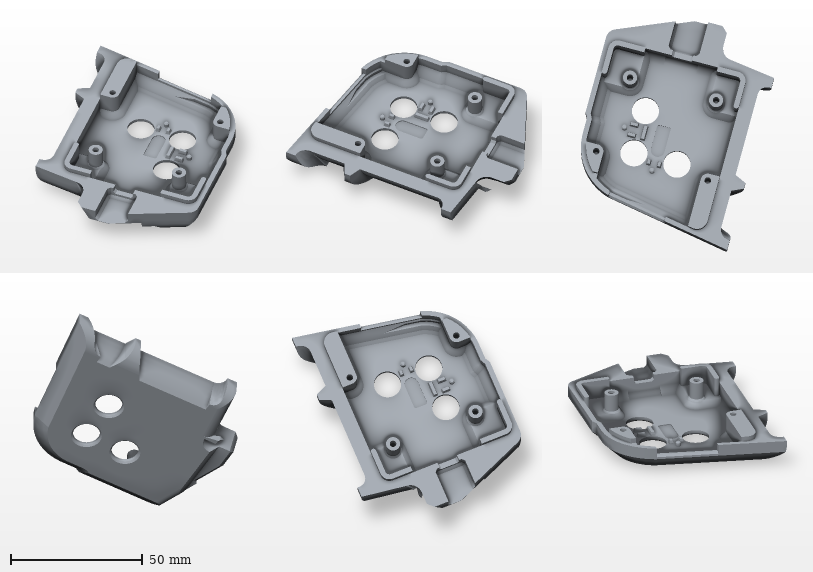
import cadquery as cq
import math

FLOOR_Z = 2.0
RIM_Z = 10.0
POST_Z = 12.0
PLATFORM_Z = 4.5
ARC_MID = math.sqrt(0.5)
OVERRUN = 20.0
COVE_OVERLAP = 0.5
FAR = 100.0

LEFT_X = -36.0
RIGHT_X = 30.0
UPPER_RIGHT_X = 28.9
TOP_Y = 37.27
BOTTOM_Y = -46.4
FOOT_Y = -32.0
FOOT_SLOPE = math.tan(math.radians(8))
TOP_SLOPE = math.tan(math.radians(10.2))
TOP_ARC_X = 13.5
TOP_ARC_Y = TOP_Y - (TOP_ARC_X - LEFT_X) * TOP_SLOPE
SIDE_ARC_Y = 8.4
SIDE_ARC_MID = (22.9, 22.6)
STEP_UPPER_Y = 1.4
STEP_LOWER_Y = -0.6
FLANGE_LEFT_X = -14.1
FLANGE_CHAMFER = 2.3
FLANGE_TIP_X = -0.8
FLANGE_ANGLE = math.radians(22.8)
FLANGE_SLOPE = math.tan(FLANGE_ANGLE)
FLANGE_NECK_RADIUS = 4.7
NECK_X = FLANGE_LEFT_X - FLANGE_NECK_RADIUS
NECK_Y = FOOT_Y - (NECK_X - LEFT_X) * FOOT_SLOPE
NECK_BEND = FLANGE_NECK_RADIUS * (1 - ARC_MID)
CORNER_RADIUS = 4.25

EDGE_CHAMFER = 5.4
LEFT_EDGE_RADIUS = 8.0
FOOT_EDGE_RADIUS = 5.0
SLANT_EDGE_RADIUS = 4.0
FLANGE_UNDERSIDE_Z = 3.0
FLANGE_RAMP_Y = -36.4
FLANGE_END_CHAMFER = 2.0
FLANGE_END_CHAMFER_X = 11.0
FLANGE_SIDE_DRAFT = 0.63
FLANGE_NECK_RISE = 3.0

GRIP_X = -31.6
GRIP_RADIUS = 20.0
GRIP_TILT = math.radians(14)
GRIP_AXIS_X = GRIP_X + GRIP_RADIUS * math.cos(GRIP_TILT)
GRIP_AXIS_Z = RIM_Z + GRIP_RADIUS * math.sin(GRIP_TILT)
GRIP_FOOT_X = GRIP_AXIS_X - math.sqrt(GRIP_RADIUS**2 - GRIP_AXIS_Z**2)
TOOTH_Y = 11.45
TOOTH_TIP_HALF = 1.15
TOOTH_ROOT_HALF = 3.2
TOOTH_DEEP_HALF = 7.0
GRIP_CORNER_INSET = 3.0
GRIP_DEEP_X = GRIP_FOOT_X + 0.6
UPPER_GRIP_Y = 33.4
UPPER_GRIP_CORNER = 4.2
UPPER_GRIP_LEAN = 5.5
LOWER_GRIP_Y = -27.9
LOWER_GRIP_CORNER = 3.6

CAVITY_LEFT_X = -26.0
CAVITY_RIGHT_X = 28.0
CAVITY_UPPER_RIGHT_X = 27.0
CAVITY_BOTTOM_Y = -30.4
TOP_WALL = 1.75
CAVITY_TOP_LEFT_Y = TOP_Y - (CAVITY_LEFT_X - LEFT_X) * TOP_SLOPE - TOP_WALL
CAVITY_ARC_X = 12.8
CAVITY_ARC_MID = (21.4, 21.3)
CAVITY_CORNER = 3.6
CAVITY_TOP_CORNER = 4.2
CAVITY_SLOPE_Z = 6.0
CAVITY_FILLET = 3.0
SILL_FILLET = 1.8
TOE_HEIGHT = 0.6
TOE_TAPER = 67.5
SILL_HALF = 6.4

SCREW_X = 22.0
SCREW_Y = 13.5
STANDOFF_X = 17.0
STANDOFF_Y = -17.5
STANDOFF_D = 5.4
SCREW_HOLE_D = 2.5
SCREW_HOLE_DEPTH = 8.0
RIGHT_POST_TOP_Y = 21.4
POST_RADIUS = STANDOFF_D / 2
BASE_SPREAD = PLATFORM_Z - FLOOR_Z
STANDOFF_FOOT = 0.7
RIDGE_WIDTH = 2.0
RIDGE_END_Y = -16.4
RIDGE_END_RADIUS = 0.98

BUTTON_D = 10.4
BUTTON_CHAMFER = 0.7
BUTTON_OFFSET = 8.5
BUTTONS = [
    (-BUTTON_OFFSET, BUTTON_OFFSET),
    (BUTTON_OFFSET, BUTTON_OFFSET),
    (BUTTON_OFFSET, -BUTTON_OFFSET),
]
SLOT_WIDTH = 5.3
SLOT_TOP_RADIUS = 2.64
SLOT_TOP_Y = 7.7
SLOT_BOTTOM_Y = -4.5
SLOT_CORNER = 0.8
SLOT_DEPTH = 0.4
PEG_D = 2.0
PEG_HEIGHT = 1.7
PEG_CHAMFER = 0.4
PEGS = [(0, 13.5), (14.5, 0)]
BLOCKS = [
    (-2.05, 10.5, 1.7, 2.4),
    (2.05, 10.5, 1.7, 2.4),
    (6.7, 0, 1.9, 5.9),
    (11.15, 2.1, 3.4, 1.8),
    (11.15, -2.1, 3.4, 1.8),
]
BLOCK_HEIGHT = 1.4
BLOCK_TAPER = 14

CHANNEL_HALF = 6.1
CHANNEL_Z = 5.2
CHANNEL_Y = -32.5
CHANNEL_CHAMFER = 1.1
CABLE_HALF = 4.0
CABLE_Z = 7.3
CABLE_CHAMFER = 0.8
NOTCH_LEFT_X = -10.1
NOTCH_RIGHT_X = 13.2
NOTCH_Z = 7.0
NOTCH_BEVEL = 0.75
SHELF_Z = 4.0
SHELF_TOP_Z = 6.5
SHELF_Y = 27.4
SHELF_INSET = 0.5
SHELF_LEFT_X = -9.0


def box(x0, x1, y0, y1, z0, z1):
    return cq.Workplane("XY").box(x1 - x0, y1 - y0, z1 - z0, centered=False).translate((x0, y0, z0))


def plane_at(z):
    return cq.Workplane("XY").workplane(offset=z)


def outer_outline(z):
    """Full plan outline of the shell, before the grips are cut into its left edge."""
    corner_y = BOTTOM_Y + (RIGHT_X - FLANGE_TIP_X) * FLANGE_SLOPE
    setback = CORNER_RADIUS * math.tan(math.pi / 4 - FLANGE_ANGLE / 2)
    slant_end = (
        RIGHT_X - setback * math.cos(FLANGE_ANGLE),
        corner_y - setback * math.sin(FLANGE_ANGLE),
    )
    return (
        plane_at(z)
        .moveTo(LEFT_X, TOP_Y)
        .lineTo(LEFT_X, FOOT_Y)
        .lineTo(NECK_X, NECK_Y)
        .threePointArc(
            (FLANGE_LEFT_X - NECK_BEND, NECK_Y - NECK_BEND),
            (FLANGE_LEFT_X, NECK_Y - FLANGE_NECK_RADIUS),
        )
        .lineTo(FLANGE_LEFT_X, BOTTOM_Y + FLANGE_CHAMFER)
        .lineTo(FLANGE_LEFT_X + FLANGE_CHAMFER, BOTTOM_Y)
        .lineTo(FLANGE_TIP_X, BOTTOM_Y)
        .lineTo(*slant_end)
        .tangentArcPoint((RIGHT_X, corner_y + setback), relative=False)
        .lineTo(RIGHT_X, STEP_LOWER_Y)
        .lineTo(UPPER_RIGHT_X, STEP_UPPER_Y)
        .lineTo(UPPER_RIGHT_X, SIDE_ARC_Y)
        .threePointArc(SIDE_ARC_MID, (TOP_ARC_X, TOP_ARC_Y))
        .close()
    )


def chamfered_envelope():
    """Prism whose top, curved and right sides slope in at 45 degrees below the chamfer line."""
    left = LEFT_X - OVERRUN
    low = BOTTOM_Y - OVERRUN

    def outline():
        return (
            plane_at(EDGE_CHAMFER)
            .moveTo(left, TOP_Y + OVERRUN * TOP_SLOPE)
            .lineTo(left, low)
            .lineTo(RIGHT_X, low)
            .lineTo(RIGHT_X, STEP_LOWER_Y)
            .lineTo(UPPER_RIGHT_X, STEP_UPPER_Y)
            .lineTo(UPPER_RIGHT_X, SIDE_ARC_Y)
            .threePointArc(SIDE_ARC_MID, (TOP_ARC_X, TOP_ARC_Y))
            .close()
        )

    upper = outline().extrude(POST_Z - EDGE_CHAMFER)
    lower = outline().extrude(-EDGE_CHAMFER, taper=45)
    return upper.union(lower)


def edge_rounding(start, end, radius):
    """Cutter that rounds the bottom edge running from start to end, with the part on its left."""
    dx = end[0] - start[0]
    dy = end[1] - start[1]
    length = math.hypot(dx, dy)
    plane = cq.Plane(
        origin=(start[0], start[1], 0),
        xDir=(-dy / length, dx / length, 0),
        normal=(dx / length, dy / length, 0),
    )
    rise = 1 if plane.yDir.z > 0 else -1
    bend = radius * (1 - ARC_MID)
    return (
        cq.Workplane(plane)
        .moveTo(-radius, -rise)
        .lineTo(radius, -rise)
        .lineTo(radius, 0)
        .threePointArc((bend, rise * bend), (0, rise * radius))
        .lineTo(-radius, rise * radius)
        .close()
        .extrude(length)
    )


def left_edge_rounding():
    return edge_rounding((LEFT_X, FAR), (LEFT_X, -FAR), LEFT_EDGE_RADIUS)


def foot_edge_rounding():
    end_y = FOOT_Y - (FLANGE_LEFT_X - LEFT_X) * FOOT_SLOPE
    return edge_rounding((LEFT_X, FOOT_Y), (FLANGE_LEFT_X, end_y), FOOT_EDGE_RADIUS)


def slanted_edge_rounding():
    end_y = BOTTOM_Y + (RIGHT_X - FLANGE_TIP_X) * FLANGE_SLOPE
    return edge_rounding((FLANGE_TIP_X, BOTTOM_Y), (RIGHT_X, end_y), SLANT_EDGE_RADIUS)


def flange_underside():
    """Clearance below the cable flange, joined to the base by a 45 degree ramp."""
    return (
        cq.Workplane("YZ")
        .moveTo(FLANGE_RAMP_Y, 0)
        .lineTo(FLANGE_RAMP_Y - FLANGE_UNDERSIDE_Z, FLANGE_UNDERSIDE_Z)
        .lineTo(BOTTOM_Y - 1, FLANGE_UNDERSIDE_Z)
        .lineTo(BOTTOM_Y - 1, 0)
        .close()
        .extrude(FAR, both=True)
    )


def flange_end_chamfers():
    """Bevels under the straight and the slanted end edges of the flange."""
    size = FLANGE_END_CHAMFER
    top = FLANGE_UNDERSIDE_Z + size

    def bevel(length):
        return (
            cq.Workplane("YZ")
            .moveTo(-size, top + size)
            .lineTo(-size, FLANGE_UNDERSIDE_Z - 1)
            .lineTo(size + 1, FLANGE_UNDERSIDE_Z - 1)
            .lineTo(0, top)
            .lineTo(0, top + size)
            .close()
            .extrude(length)
        )

    straight = bevel(FLANGE_TIP_X - FLANGE_LEFT_X).translate((FLANGE_LEFT_X, BOTTOM_Y, 0))
    slant_length = (FLANGE_END_CHAMFER_X - FLANGE_TIP_X) / math.cos(FLANGE_ANGLE)
    slanted = (
        bevel(slant_length)
        .rotate((0, 0, 0), (0, 0, 1), math.degrees(FLANGE_ANGLE))
        .translate((FLANGE_TIP_X, BOTTOM_Y, 0))
    )
    return straight.union(slanted)


def flange_side_draft():
    """Leans the left side and the neck of the flange inwards towards the underside."""

    def section(workplane, shift, rise):
        return (
            workplane.moveTo(NECK_X + shift, NECK_Y + rise)
            .threePointArc(
                (FLANGE_LEFT_X - NECK_BEND + shift, NECK_Y - NECK_BEND + rise),
                (FLANGE_LEFT_X + shift, NECK_Y - FLANGE_NECK_RADIUS + rise),
            )
            .lineTo(FLANGE_LEFT_X + shift, BOTTOM_Y + FLANGE_CHAMFER)
            .lineTo(FLANGE_LEFT_X + FLANGE_CHAMFER + shift, BOTTOM_Y)
            .lineTo(NECK_X + shift, BOTTOM_Y)
            .close()
        )

    base = section(cq.Workplane("XY"), RIM_Z * FLANGE_SIDE_DRAFT, FLANGE_NECK_RISE)
    return section(base.workplane(offset=RIM_Z), 0, 0).loft(ruled=True)


def grip_outside():
    """Everything left of the rounded, inward-leaning grip surface."""
    outside = box(LEFT_X - 5, GRIP_AXIS_X, -FAR, FAR, 0, RIM_Z)
    barrel = (
        cq.Workplane("XZ").center(GRIP_AXIS_X, GRIP_AXIS_Z).circle(GRIP_RADIUS).extrude(FAR, both=True)
    )
    return outside.cut(barrel)


def grip(side, end_y, corner, lean):
    """Grip on one side of the tooth: side is 1 above it and -1 below it.

    The far end of the grip meets it in a rounded corner, which moves inwards on
    the way down. The far end itself leans towards the tooth by lean.
    """
    bend = corner * (1 - ARC_MID)

    def section(workplane, corner_x, far_y):
        return (
            workplane.moveTo(LEFT_X, TOOTH_Y + side * TOOTH_TIP_HALF)
            .lineTo(GRIP_X, TOOTH_Y + side * TOOTH_ROOT_HALF)
            .lineTo(GRIP_DEEP_X, TOOTH_Y + side * TOOTH_DEEP_HALF)
            .lineTo(GRIP_DEEP_X, far_y - side * corner)
            .lineTo(corner_x, far_y - side * corner)
            .threePointArc((corner_x - bend, far_y - side * bend), (corner_x - corner, far_y))
            .lineTo(LEFT_X - 1, far_y)
            .lineTo(LEFT_X - 1, TOOTH_Y + side * TOOTH_TIP_HALF)
            .close()
        )

    base = section(cq.Workplane("XY"), GRIP_X + GRIP_CORNER_INSET, end_y - side * lean)
    cutter = section(base.workplane(offset=RIM_Z), GRIP_X, end_y).loft(ruled=True)
    return cutter.intersect(grip_outside())


def cavity_top_y(x):
    return CAVITY_TOP_LEFT_Y - (x - CAVITY_LEFT_X) * TOP_SLOPE


def cavity_outline(z, reach=0.0):
    """Plan outline of the cavity; reach moves its left and lower sides outwards."""
    left = CAVITY_LEFT_X - reach
    low = CAVITY_BOTTOM_Y - reach
    return (
        plane_at(z)
        .moveTo(left, cavity_top_y(left))
        .lineTo(left, low)
        .lineTo(CAVITY_RIGHT_X, low)
        .lineTo(CAVITY_RIGHT_X, STEP_LOWER_Y)
        .lineTo(CAVITY_UPPER_RIGHT_X, STEP_UPPER_Y)
        .lineTo(CAVITY_UPPER_RIGHT_X, SIDE_ARC_Y)
        .threePointArc(CAVITY_ARC_MID, (CAVITY_ARC_X, cavity_top_y(CAVITY_ARC_X)))
        .close()
    )


def cavity_prism(z0, z1):
    """Straight prism over the cavity outline with its left and lower right corners rounded."""
    prism = cavity_outline(z0).extrude(z1 - z0)
    corners = [
        (CAVITY_LEFT_X, CAVITY_TOP_LEFT_Y, CAVITY_TOP_CORNER),
        (CAVITY_LEFT_X, CAVITY_BOTTOM_Y, CAVITY_CORNER),
        (CAVITY_RIGHT_X, CAVITY_BOTTOM_Y, CAVITY_CORNER),
    ]
    for x, y, radius in corners:
        nearest = cq.selectors.NearestToPointSelector((x, y, (z0 + z1) / 2))
        prism = prism.edges("|Z").edges(nearest).fillet(radius)
    return prism


def cavity():
    """Cavity with upright left and lower walls; the others slope in at 45 degrees to a toe bevel."""
    toe_inset = CAVITY_SLOPE_Z - FLOOR_Z - TOE_HEIGHT
    sloped = cavity_outline(CAVITY_SLOPE_Z, OVERRUN).extrude(-toe_inset, taper=45)
    toe = cavity_outline(FLOOR_Z + TOE_HEIGHT, OVERRUN).offset2D(-toe_inset, "intersection")
    toe = toe.extrude(-TOE_HEIGHT, taper=TOE_TAPER)
    upper = cavity_outline(CAVITY_SLOPE_Z, OVERRUN).extrude(POST_Z - CAVITY_SLOPE_Z)
    return upper.union(sloped).union(toe).intersect(cavity_prism(FLOOR_Z, POST_Z))


def cove(radius, length):
    """Concave fillet strip along +Y, in the corner of a wall at x = 0 and a floor at z = 0."""
    bend = radius * (1 - ARC_MID)
    return (
        cq.Workplane("XZ")
        .moveTo(-COVE_OVERLAP, -COVE_OVERLAP)
        .lineTo(radius, -COVE_OVERLAP)
        .lineTo(radius, 0)
        .threePointArc((bend, bend), (0, radius))
        .lineTo(-COVE_OVERLAP, radius)
        .close()
        .extrude(-length)
    )


def wall_coves():
    """Fillets at the foot of the left wall and of the lower wall, smaller under the cable sill."""
    left = cove(CAVITY_FILLET, SCREW_Y - CAVITY_BOTTOM_Y).translate(
        (CAVITY_LEFT_X, CAVITY_BOTTOM_Y, FLOOR_Z)
    )

    def lower(x0, x1, radius):
        strip = cove(radius, x1 - x0).rotate((0, 0, 0), (0, 0, 1), 90).mirror("YZ")
        return strip.translate((x0, CAVITY_BOTTOM_Y, FLOOR_Z))

    return (
        left.union(lower(-STANDOFF_X, -SILL_HALF, CAVITY_FILLET))
        .union(lower(-SILL_HALF, SILL_HALF, SILL_FILLET))
        .union(lower(SILL_HALF, STANDOFF_X, CAVITY_FILLET))
    )


def corner_plan(side, centre_x, centre_y, direction, spread, z):
    """Plan of a corner block rounded around a screw, running out past the cavity walls.

    side is -1 for the left wall and 1 for the right wall; direction is 1 if the block
    runs up from the screw and -1 if it runs down.
    """
    radius = POST_RADIUS + spread
    inner = centre_x - side * radius
    near_y = centre_y - direction * radius
    bend = radius * ARC_MID
    return (
        plane_at(z)
        .moveTo(inner, centre_y + direction * FAR)
        .lineTo(inner, centre_y)
        .threePointArc((centre_x - side * bend, centre_y - direction * bend), (centre_x, near_y))
        .lineTo(side * FAR, near_y)
        .lineTo(side * FAR, centre_y + direction * FAR)
        .close()
    )


def corner_block(side, centre_x, centre_y, direction, top_z):
    """Corner block up to top_z with a 45 degree base, clipped to the cavity."""
    base = corner_plan(side, centre_x, centre_y, direction, BASE_SPREAD, FLOOR_Z).extrude(
        BASE_SPREAD, taper=45
    )
    block = corner_plan(side, centre_x, centre_y, direction, 0, FLOOR_Z).extrude(top_z - FLOOR_Z)
    filled = base.union(block).intersect(cavity_prism(FLOOR_Z, top_z))
    return filled.intersect(chamfered_envelope())


def screw_hole(x, y):
    return plane_at(POST_Z - SCREW_HOLE_DEPTH).center(x, y).circle(SCREW_HOLE_D / 2).extrude(FAR)


def standoff(x):
    foot = (
        plane_at(PLATFORM_Z)
        .center(x, STANDOFF_Y)
        .circle(POST_RADIUS + STANDOFF_FOOT)
        .extrude(STANDOFF_FOOT, taper=45)
    )
    inner = cq.Workplane("XY").center(x, STANDOFF_Y).circle(POST_RADIUS)
    return inner.extrude(POST_Z - FLOOR_Z).translate((0, 0, FLOOR_Z)).union(foot)


def ridges():
    """L-shaped locating ridges that follow the two lower corners of the cavity."""
    full = cavity_prism(PLATFORM_Z, POST_Z)
    inside = box(
        CAVITY_LEFT_X + RIDGE_WIDTH,
        CAVITY_RIGHT_X - RIDGE_WIDTH,
        CAVITY_BOTTOM_Y + RIDGE_WIDTH,
        FAR,
        PLATFORM_Z,
        POST_Z,
    ).edges("|Z and <Y").fillet(CAVITY_CORNER - RIDGE_WIDTH)
    ring = full.cut(inside)
    inner_end = STANDOFF_X - POST_RADIUS
    left = ring.intersect(box(-FAR, -inner_end, -FAR, RIDGE_END_Y, 0, FAR))
    right = ring.intersect(box(inner_end, FAR, -FAR, RIDGE_END_Y, 0, FAR))
    return [part.edges("|Z and >Y").fillet(RIDGE_END_RADIUS) for part in (left, right)]


def slot():
    half = SLOT_WIDTH / 2
    floor = FLOOR_Z - SLOT_DEPTH
    body = box(-half, half, SLOT_BOTTOM_Y, SLOT_TOP_Y, floor, FLOOR_Z + 1)
    body = body.edges("|Z and >Y").fillet(SLOT_TOP_RADIUS)
    return body.edges("|Z and <Y").fillet(SLOT_CORNER)


def rim_notch():
    """Lowered length of the upper rim with a bevel along its outer edge."""
    opening = box(NOTCH_LEFT_X, NOTCH_RIGHT_X, CAVITY_ARC_MID[1], FAR, NOTCH_Z, FAR)
    angle = math.degrees(math.atan(TOP_SLOPE))
    bevel = (
        cq.Workplane("YZ")
        .moveTo(-NOTCH_BEVEL, NOTCH_Z)
        .lineTo(NOTCH_BEVEL, NOTCH_Z)
        .lineTo(NOTCH_BEVEL, NOTCH_Z - 2 * NOTCH_BEVEL)
        .close()
        .extrude(FAR)
        .rotate((0, 0, 0), (0, 0, 1), -angle)
        .translate((LEFT_X, TOP_Y, 0))
        .intersect(box(NOTCH_LEFT_X, NOTCH_RIGHT_X, 0, FAR, 0, FAR))
    )
    return opening.union(bevel)


def wall_shelf():
    """Level pocket in the sloped upper wall, ending at the right-hand post."""
    outline = cavity_outline(SHELF_Z).offset2D(-SHELF_INSET).extrude(SHELF_TOP_Z - SHELF_Z)
    reach = box(SHELF_LEFT_X, SCREW_X - POST_RADIUS, SCREW_Y, SHELF_Y, SHELF_Z, SHELF_TOP_Z)
    return outline.intersect(reach)


def cable_channel():
    """Wide channel through the flange, stepped up to a narrow slot through the cavity wall."""
    wide = box(-CHANNEL_HALF, CHANNEL_HALF, BOTTOM_Y - 5, CHANNEL_Y, CHANNEL_Z, FAR)
    wide = wide.edges("(|Y and <Z) or (>Y and <Z) or (>Y and |Z)").chamfer(CHANNEL_CHAMFER)
    narrow = box(-CABLE_HALF, CABLE_HALF, CHANNEL_Y - 1, CAVITY_BOTTOM_Y + 1, CABLE_Z, FAR)
    narrow = narrow.edges("|Y and <Z").chamfer(CABLE_CHAMFER)
    return wide.union(narrow)


def shell():
    body = outer_outline(0).extrude(RIM_Z).intersect(chamfered_envelope())
    cutters = [
        left_edge_rounding(),
        foot_edge_rounding(),
        slanted_edge_rounding(),
        flange_underside(),
        flange_end_chamfers(),
        flange_side_draft(),
        grip(1, UPPER_GRIP_Y, UPPER_GRIP_CORNER, UPPER_GRIP_LEAN),
        grip(-1, LOWER_GRIP_Y, LOWER_GRIP_CORNER, 0),
        cavity(),
    ]
    for cutter in cutters:
        body = body.cut(cutter)
    return body


def post(side):
    """Tall block around an upper screw; above the rim the right one stops short of the corner."""
    block = corner_block(side, side * SCREW_X, SCREW_Y, 1, POST_Z)
    if side > 0:
        block = block.cut(box(0, FAR, RIGHT_POST_TOP_Y, FAR, RIM_Z, FAR))
    return block


def button_hole(x, y):
    bore = cq.Workplane("XY").center(x, y).circle(BUTTON_D / 2).extrude(FLOOR_Z)
    mouth_radius = BUTTON_D / 2 + BUTTON_CHAMFER
    mouth = cq.Workplane("XY").center(x, y).circle(mouth_radius).extrude(BUTTON_CHAMFER, taper=45)
    return bore.union(mouth)


def peg(x, y):
    pin = plane_at(FLOOR_Z).center(x, y).circle(PEG_D / 2).extrude(PEG_HEIGHT)
    return pin.faces(">Z").chamfer(PEG_CHAMFER)


def locating_block(x, y, length_x, length_y):
    plan = plane_at(FLOOR_Z).center(x, y).rect(length_x, length_y)
    return plan.extrude(BLOCK_HEIGHT, taper=BLOCK_TAPER)


result = shell().union(wall_coves())
result = result.cut(wall_shelf()).cut(rim_notch()).cut(cable_channel())

for side in (-1, 1):
    result = result.union(post(side))
    result = result.union(corner_block(side, side * STANDOFF_X, STANDOFF_Y, -1, PLATFORM_Z))
    result = result.union(standoff(side * STANDOFF_X))
for ridge in ridges():
    result = result.union(ridge)
for side in (-1, 1):
    result = result.cut(screw_hole(side * SCREW_X, SCREW_Y))
    result = result.cut(screw_hole(side * STANDOFF_X, STANDOFF_Y))

for x, y in BUTTONS:
    result = result.cut(button_hole(x, y))
result = result.cut(slot())
for x, y in PEGS:
    result = result.union(peg(x, y))
for x, y, length_x, length_y in BLOCKS:
    result = result.union(locating_block(x, y, length_x, length_y))